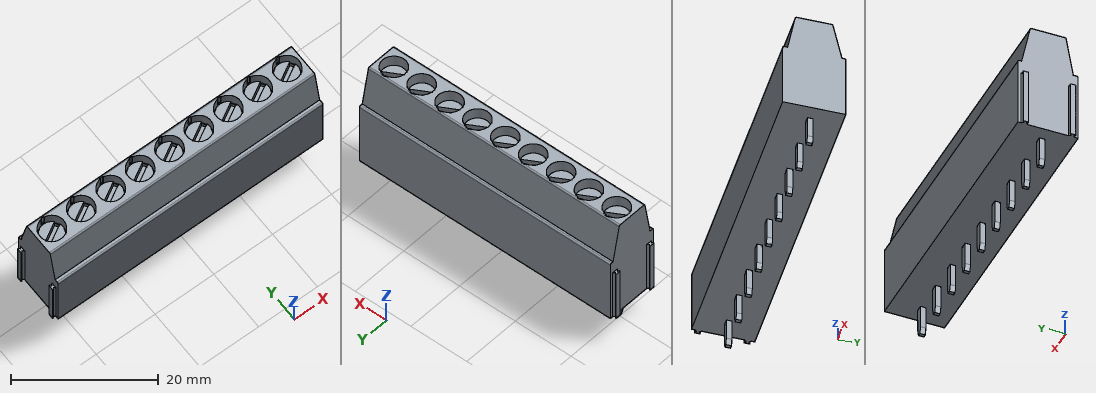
import cadquery as cq

POLES = 9
PITCH = 5.0
BODY_LENGTH = POLES * PITCH
BODY_DEPTH = 8.9
BODY_HEIGHT = 16.8
SHOULDER_HEIGHT = 10.7
FRONT_LEDGE = 0.7
BACK_LEDGE = 0.55
FRONT_TOP_INSET = 1.8
BACK_TOP_INSET = 1.85
EDGE_RADIUS = 0.25

WELL_DIAMETER = 4.0
WELL_OFFSET_Y = 0.25
SCREW_DIAMETER = 3.8
SCREW_RECESS = 1.7
SCREW_GAP_DEPTH = 0.5
SLOT_WIDTH = 0.8
SLOT_DEPTH = 1.2
SLOT_ANGLE = 30.0
RELIEF_WIDTH = 0.5
RELIEF_DEPTH = 0.12

PIN_WIDTH = 1.0
PIN_THICKNESS = 0.8
PIN_LENGTH = 4.5
PIN_TIP_WIDTH = 0.5
PIN_TIP_LENGTH = 1.0
PIN_ROOT = 0.5

RIB_PROJECTION = 0.55
RIB_HEAD_WIDTH = 0.8
RIB_HEAD_THICKNESS = 0.15
RIB_WAIST_WIDTH = 0.4
RIB_WAIST_OFFSET = 0.3
RIB_BASE_WIDTH = 0.95
RIB_HEIGHT = 8.6
RIB_INSET = 0.95

HALF_DEPTH = BODY_DEPTH / 2
END_X = -BODY_LENGTH / 2
POLE_X = [(i - (POLES - 1) / 2) * PITCH for i in range(POLES)]


def edge_near(y):
    """Selector for the long shoulder edge at the given Y."""
    return cq.selectors.NearestToPointSelector((0, y, SHOULDER_HEIGHT))


def make_body():
    """Shouldered, tapering housing extruded along X."""
    outline = [
        (-HALF_DEPTH, 0),
        (HALF_DEPTH, 0),
        (HALF_DEPTH, SHOULDER_HEIGHT),
        (HALF_DEPTH - BACK_LEDGE, SHOULDER_HEIGHT),
        (HALF_DEPTH - BACK_TOP_INSET, BODY_HEIGHT),
        (-HALF_DEPTH + FRONT_TOP_INSET, BODY_HEIGHT),
        (-HALF_DEPTH + FRONT_LEDGE, SHOULDER_HEIGHT),
        (-HALF_DEPTH, SHOULDER_HEIGHT),
    ]
    body = cq.Workplane("YZ").polyline(outline).close().extrude(BODY_LENGTH / 2, both=True)
    body = body.faces(">Z").edges("|X").fillet(EDGE_RADIUS)
    for side in (-1, 1):
        body = body.edges(edge_near(side * HALF_DEPTH)).fillet(EDGE_RADIUS)
    return body


def make_well(x):
    """Cavity above one slotted clamping screw."""
    head_z = BODY_HEIGHT - SCREW_RECESS
    top = cq.Workplane("XY", origin=(x, WELL_OFFSET_Y, BODY_HEIGHT))
    head = cq.Workplane("XY", origin=(x, WELL_OFFSET_Y, head_z))
    well = top.circle(WELL_DIAMETER / 2).extrude(-SCREW_RECESS)
    gap = head.circle(WELL_DIAMETER / 2).circle(SCREW_DIAMETER / 2).extrude(-SCREW_GAP_DEPTH)
    disc = head.circle(SCREW_DIAMETER / 2).extrude(-SLOT_DEPTH)
    slot = head.transformed(rotate=(0, 0, SLOT_ANGLE)).rect(WELL_DIAMETER, SLOT_WIDTH).extrude(-SLOT_DEPTH)
    relief_reach = WELL_DIAMETER / 2 + RELIEF_DEPTH
    relief = top.center(0, relief_reach / 2).rect(RELIEF_WIDTH, relief_reach).extrude(-SCREW_RECESS)
    return well.union(gap).union(disc.intersect(slot)).union(relief)


def make_pin(x):
    """Flat solder pin with a tapered tip."""
    taper_z = -PIN_LENGTH + PIN_TIP_LENGTH
    outline = [
        (x - PIN_WIDTH / 2, PIN_ROOT),
        (x - PIN_WIDTH / 2, taper_z),
        (x - PIN_TIP_WIDTH / 2, -PIN_LENGTH),
        (x + PIN_TIP_WIDTH / 2, -PIN_LENGTH),
        (x + PIN_WIDTH / 2, taper_z),
        (x + PIN_WIDTH / 2, PIN_ROOT),
    ]
    return cq.Workplane("XZ").polyline(outline).close().extrude(PIN_THICKNESS / 2, both=True)


def make_rib(y):
    """Waisted vertical rib on the -X end."""
    tip_x = END_X - RIB_PROJECTION
    head_x = tip_x + RIB_HEAD_THICKNESS
    waist_x = tip_x + RIB_WAIST_OFFSET
    outline = [
        (END_X, y - RIB_BASE_WIDTH / 2),
        (waist_x, y - RIB_WAIST_WIDTH / 2),
        (head_x, y - RIB_HEAD_WIDTH / 2),
        (tip_x, y - RIB_HEAD_WIDTH / 2),
        (tip_x, y + RIB_HEAD_WIDTH / 2),
        (head_x, y + RIB_HEAD_WIDTH / 2),
        (waist_x, y + RIB_WAIST_WIDTH / 2),
        (END_X, y + RIB_BASE_WIDTH / 2),
    ]
    return cq.Workplane("XY").polyline(outline).close().extrude(RIB_HEIGHT)


result = make_body()
for pole_x in POLE_X:
    result = result.cut(make_well(pole_x)).union(make_pin(pole_x))
for rib_y in (HALF_DEPTH - RIB_INSET, RIB_INSET - HALF_DEPTH):
    result = result.union(make_rib(rib_y))